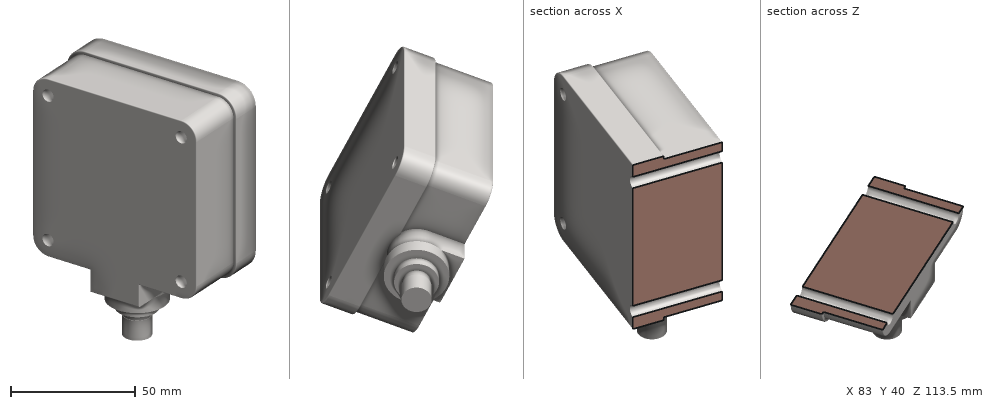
import cadquery as cq

depth = 40.0
cover_size = 83.0
cover_depth = 14.0
cover_overhang = 1.5
hole_spacing = 65.0
hole_diameter = 5.5
edge_radius = 0.5

body_size = cover_size - 2 * cover_overhang
cover_corner_radius = (cover_size - hole_spacing) / 2
body_corner_radius = cover_corner_radius - cover_overhang
front_y = -depth / 2
back_y = depth / 2
joint_y = back_y - cover_depth

total_height = 113.5
neck_width = 24.0
outlet_axis_offset = 15.9
flange_diameter = 26.3
flange_length = 6.0
collar_diameter = 18.0
collar_length = 4.0
groove_diameter = 11.6
groove_length = 3.1
plug_diameter = 12.1
plug_length = 9.0

axis_y = front_y + outlet_axis_offset
bottom_z = cover_size / 2 - total_height
neck_bottom_z = bottom_z + plug_length + groove_length + collar_length + flange_length


def rounded_block(size, corner_radius, start_y, end_y):
    """Square block with rounded corners, extending along Y."""
    length = end_y - start_y
    return (
        cq.Workplane("XY")
        .box(size, length, size)
        .edges("|Y")
        .fillet(corner_radius)
        .translate((0, (start_y + end_y) / 2, 0))
    )


def make_cover():
    cover = rounded_block(cover_size, cover_corner_radius, joint_y, back_y)
    return cover.faces("<Y or >Y").edges().fillet(edge_radius)


def make_neck():
    """U-section neck, flat at the body face and round towards the cover."""
    half_width = neck_width / 2
    return (
        cq.Workplane("XY", origin=(0, 0, neck_bottom_z))
        .moveTo(-half_width, front_y)
        .lineTo(half_width, front_y)
        .lineTo(half_width, axis_y)
        .threePointArc((0, axis_y + half_width), (-half_width, axis_y))
        .close()
        .extrude(-neck_bottom_z)
    )


def make_body():
    """Body and neck share one flat face with a softened outline."""
    body = rounded_block(body_size, body_corner_radius, front_y, joint_y)
    return body.union(make_neck()).faces("<Y").edges().fillet(edge_radius)


def make_connector():
    steps = [
        (flange_diameter, flange_length),
        (collar_diameter, collar_length),
        (groove_diameter, groove_length),
        (plug_diameter, plug_length),
    ]
    connector = cq.Workplane("XY")
    top_z = neck_bottom_z
    for diameter, length in steps:
        step = cq.Workplane("XY", origin=(0, axis_y, top_z)).circle(diameter / 2).extrude(-length)
        connector = connector.add(step)
        top_z -= length
    return connector.combine()


def make_mounting_holes():
    return (
        cq.Workplane("XZ", origin=(0, back_y, 0))
        .rect(hole_spacing, hole_spacing, forConstruction=True)
        .vertices()
        .circle(hole_diameter / 2)
        .extrude(depth)
    )


result = make_body().union(make_cover()).union(make_connector()).cut(make_mounting_holes())